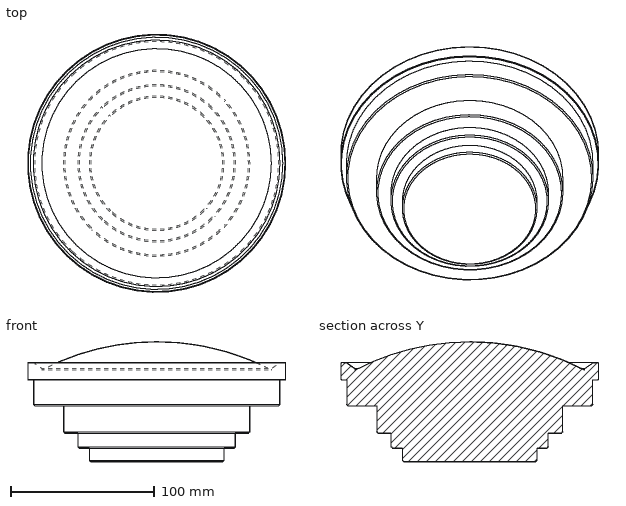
import cadquery as cq
import math

BARREL_STEPS = [(47.0, 9.5), (55.0, 20.0), (65.0, 39.0), (86.0, 57.0)]
BARREL_TOP = BARREL_STEPS[-1][1]
STEP_CHAMFER = 1.0

RIM_RADIUS = 90.0
RIM_TOP = 69.5
RIM_CHAMFER = 0.5

LEDGE_RADIUS = 88.0
LEDGE_DEPTH = 0.25
CONE_TOP_RADIUS = 86.0
CONE_BOTTOM_HEIGHT = 65.0

LENS_RADIUS = 80.0
LENS_EDGE_HEIGHT = 64.25
OVERALL_HEIGHT = 83.89


def chamfered_disc(radius, bottom, top, chamfer, edges):
    """Disc about Z with the selected circular edges chamfered."""
    disc = cq.Workplane("XY").workplane(offset=bottom).circle(radius).extrude(top - bottom)
    return disc.edges(edges).chamfer(chamfer)


def revolve_about_z(profile):
    """Full revolution of an XZ profile about the Z axis."""
    return profile.revolve(360, (0, 0), (0, 1))


def make_barrel():
    """Stack of discs widening toward the front, each chamfered on its lower edge."""
    barrel = cq.Workplane("XY")
    bottom = 0.0
    for radius, top in BARREL_STEPS:
        barrel = barrel.union(chamfered_disc(radius, bottom, top, STEP_CHAMFER, "<Z"))
        bottom = top
    return barrel


def make_rim():
    """Widest disc, chamfered on both outer edges."""
    return chamfered_disc(RIM_RADIUS, BARREL_TOP, RIM_TOP, RIM_CHAMFER, "%CIRCLE")


def make_recess():
    """Space inside the rim: ledge, cone and a short wall down to the lens edge."""
    ledge_height = RIM_TOP - LEDGE_DEPTH
    profile = (
        cq.Workplane("XZ")
        .moveTo(0, LENS_EDGE_HEIGHT)
        .lineTo(LENS_RADIUS, LENS_EDGE_HEIGHT)
        .lineTo(LENS_RADIUS, CONE_BOTTOM_HEIGHT)
        .lineTo(CONE_TOP_RADIUS, ledge_height)
        .lineTo(LEDGE_RADIUS, ledge_height)
        .lineTo(LEDGE_RADIUS, RIM_TOP)
        .lineTo(0, RIM_TOP)
        .close()
    )
    return revolve_about_z(profile)


def make_lens():
    """Spherical cap rising from the lens edge to the overall height."""
    dome_rise = OVERALL_HEIGHT - LENS_EDGE_HEIGHT
    dome_radius = (LENS_RADIUS**2 + dome_rise**2) / (2 * dome_rise)
    mid_angle = math.asin(LENS_RADIUS / dome_radius) / 2
    dome_middle = (
        dome_radius * math.sin(mid_angle),
        OVERALL_HEIGHT - dome_radius * (1 - math.cos(mid_angle)),
    )
    profile = (
        cq.Workplane("XZ")
        .moveTo(0, LENS_EDGE_HEIGHT)
        .lineTo(LENS_RADIUS, LENS_EDGE_HEIGHT)
        .threePointArc(dome_middle, (0, OVERALL_HEIGHT))
        .close()
    )
    return revolve_about_z(profile)


body = make_barrel().union(make_rim())
result = body.cut(make_recess()).union(make_lens())